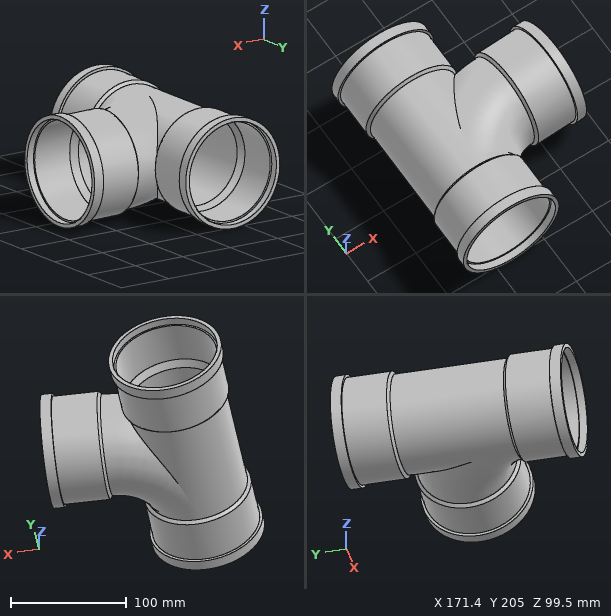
import cadquery as cq
import math

run_length = 205.0
tube_radius = 44.3
bore_radius = 41.0

socket_radius = 47.2
socket_bore_radius = 44.3
rim_diameter = 99.5
rim_radius = rim_diameter / 2
mouth_radius = 46.0
rim_depth = 9.8
mouth_depth = 7.0
socket_bore_depth = 45.0
socket_depth = 49.6
shoulder_depth = 52.0

elbow_start_y = -41.8
bend_radius = 74.2
turn_angle = 70.0
branch_rise_angle = 2.5
elbow_start_angle = branch_rise_angle + turn_angle


def direction(angle):
    """Unit vector in the XY plane, at an angle in degrees from +X."""
    return cq.Vector(math.cos(math.radians(angle)), math.sin(math.radians(angle)), 0)


def turned(start, axis, profile):
    """Revolve (radius, depth) points about an axis from a start point."""
    plane = cq.Plane(origin=start, xDir=(0, 0, 1), normal=cq.Vector(0, 0, 1).cross(axis))
    return cq.Workplane(plane).polyline(profile).close().revolve(360, (0, 0), (0, 1))


def socket_body(mouth, inward):
    """Outer socket with its rim and the cone down to the tube."""
    profile = [
        (0, 0),
        (rim_radius, 0),
        (rim_radius, rim_depth),
        (socket_radius, rim_depth),
        (socket_radius, socket_depth),
        (tube_radius, shoulder_depth),
        (0, shoulder_depth),
    ]
    return turned(mouth, inward, profile)


def socket_cavity(mouth, inward):
    """Stepped socket bore, narrowing through a cone to the tube bore."""
    profile = [
        (0, 0),
        (mouth_radius, 0),
        (mouth_radius, mouth_depth),
        (socket_bore_radius, mouth_depth),
        (socket_bore_radius, socket_bore_depth),
        (bore_radius, shoulder_depth),
        (0, shoulder_depth),
    ]
    return turned(mouth, inward, profile)


def run_cylinder(radius):
    """Solid cylinder along the whole run."""
    return cq.Workplane("XZ").circle(radius).extrude(run_length / 2, both=True)


elbow_start = cq.Vector(0, elbow_start_y, 0)
bend_centre = elbow_start + direction(elbow_start_angle - 90) * bend_radius
elbow_end = bend_centre + direction(branch_rise_angle + 90) * bend_radius
branch_mouth = elbow_end + direction(branch_rise_angle) * shoulder_depth


def elbow(radius):
    """Round bar bent along the elbow centreline."""
    to_centre = direction(elbow_start_angle - 90)
    section = cq.Plane(origin=elbow_start, xDir=to_centre, normal=direction(elbow_start_angle))
    return (
        cq.Workplane(section)
        .circle(radius)
        .revolve(turn_angle, (bend_radius, 0), (bend_radius, 1))
    )


sockets = [
    (cq.Vector(0, run_length / 2, 0), cq.Vector(0, -1, 0)),
    (cq.Vector(0, -run_length / 2, 0), cq.Vector(0, 1, 0)),
    (branch_mouth, direction(branch_rise_angle + 180)),
]

body = run_cylinder(tube_radius).union(elbow(tube_radius))
for mouth, inward in sockets:
    body = body.union(socket_body(mouth, inward))

cavity = run_cylinder(bore_radius).union(elbow(bore_radius))
for mouth, inward in sockets:
    cavity = cavity.union(socket_cavity(mouth, inward))

result = body.cut(cavity)